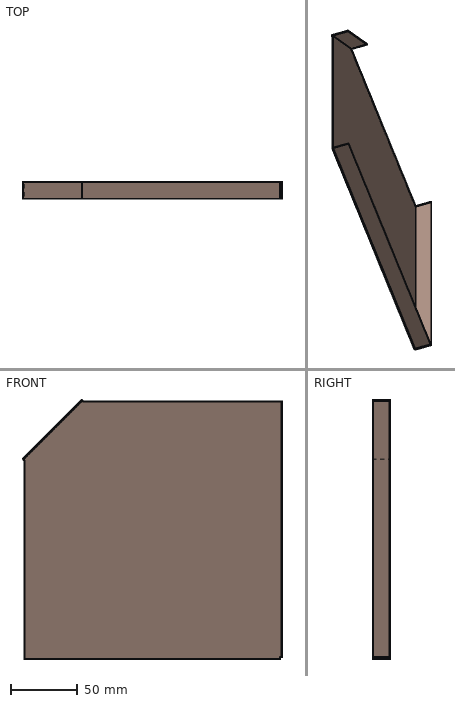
import cadquery as cq
import math

thickness = 0.7
fold_margin = 1.0
plate_side = 193.0
corner_cut = 44.5
depth = 13.0

plate_outline = [
    (0, 0),
    (plate_side, 0),
    (plate_side, plate_side),
    (corner_cut, plate_side),
    (0, plate_side - corner_cut),
]


def make_plate():
    """Flat plate from Y = -thickness (inner face) to Y = 0 (outer face)."""
    return cq.Workplane("XZ").polyline(plate_outline).close().extrude(thickness)


def make_flange(start, end):
    """L-shaped margin and flange along the plate edge from start to end, plate on its left."""
    run_x = end[0] - start[0]
    run_z = end[1] - start[1]
    length = math.hypot(run_x, run_z)
    along = cq.Vector(run_x / length, 0, run_z / length)
    outward = cq.Vector(run_z / length, 0, -run_x / length)

    section_plane = cq.Plane(origin=(start[0], 0, start[1]), xDir=outward, normal=along)
    outer_face = fold_margin + thickness
    section = [
        (0, 0),
        (outer_face, 0),
        (outer_face, -depth),
        (fold_margin, -depth),
        (fold_margin, -thickness),
        (0, -thickness),
    ]
    return cq.Workplane(section_plane).polyline(section).close().extrude(length)


lower_left, lower_right, upper_right, cut_top, cut_bottom = plate_outline
folded_edges = [
    (lower_left, lower_right),
    (lower_right, upper_right),
    (cut_top, cut_bottom),
]

result = make_plate()
for edge_start, edge_end in folded_edges:
    result = result.union(make_flange(edge_start, edge_end))
result = result.clean()